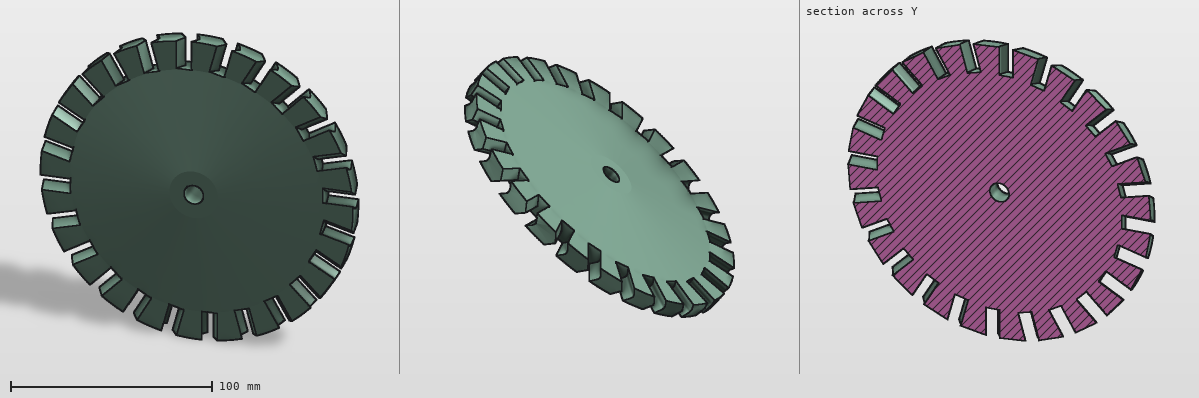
import cadquery as cq
import math

outer_radius = 81.4
hub_thickness = 19.0
rim_thickness = 9.5
hub_radius = 12.7
cone_radius = 66.0
bore_radius = 5.0

tooth_count = 24
slot_floor_height = 65.8
nose_base_x = -10.7
flank_depth = 3.6
hollow_base_x = -2.8
hollow_radius = 2.8
cutter_clearance = 1.6

half_hub = hub_thickness / 2
half_rim = rim_thickness / 2


def make_body():
    """Revolve the half section: flat hub, tapering web and flat rim."""
    half_section = [
        (bore_radius, -half_hub),
        (hub_radius, -half_hub),
        (cone_radius, -half_rim),
        (outer_radius, -half_rim),
        (outer_radius, half_rim),
        (cone_radius, half_rim),
        (hub_radius, half_hub),
        (bore_radius, half_hub),
    ]
    section = cq.Workplane("XY").polyline(half_section).close()
    return section.revolve(360, (0, 0, 0), (0, 1, 0))


def make_slot_cutter():
    """Slot at the top of the wheel, with a V nose on one flank and a rounded hollow on the other."""
    flank_angle = math.atan2(flank_depth, half_rim)
    flank_slope = math.tan(flank_angle)

    overrun = half_hub - half_rim
    nose_end_x = nose_base_x - overrun * flank_slope
    hollow_end_x = hollow_base_x - overrun * flank_slope
    nose_tip_x = nose_base_x + flank_depth

    hollow_corner_x = hollow_base_x + flank_depth
    arc_centre_x = hollow_corner_x - hollow_radius / math.cos(flank_angle)
    arc_end_x = arc_centre_x + hollow_radius * math.cos(flank_angle)
    arc_end_y = hollow_radius * math.sin(flank_angle)

    profile = (
        cq.Workplane("XY", origin=(0, 0, slot_floor_height))
        .moveTo(nose_end_x, -half_hub)
        .lineTo(hollow_end_x, -half_hub)
        .lineTo(arc_end_x, -arc_end_y)
        .threePointArc((arc_centre_x + hollow_radius, 0), (arc_end_x, arc_end_y))
        .lineTo(hollow_end_x, half_hub)
        .lineTo(nose_end_x, half_hub)
        .lineTo(nose_tip_x, 0)
        .close()
    )
    return profile.extrude(outer_radius - slot_floor_height + cutter_clearance)


result = make_body()
slot_cutter = make_slot_cutter()
for index in range(tooth_count):
    angle = index * 360 / tooth_count
    result = result.cut(slot_cutter.rotate((0, 0, 0), (0, 1, 0), angle))